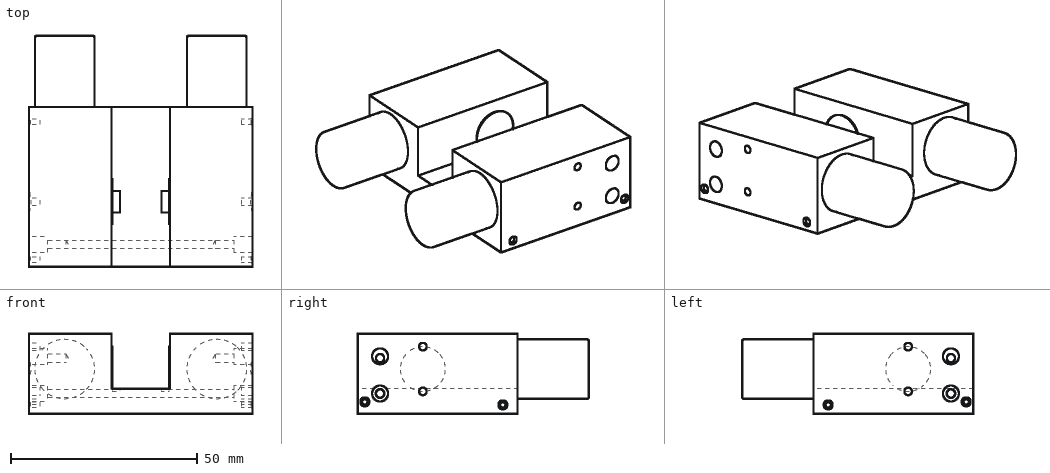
import cadquery as cq

overall_length = 62.0
body_width = 60.0
body_length = 42.9
body_height = 21.5
slot_width = 15.6
slot_floor_z = 6.75

axis_z = 12.0

plug_diameter = 16.0
plug_spacing = 40.8
plug_edge_radius = 0.5

lens_y = 17.5
lens_diameter = 12.0
lens_proud = 0.25
relief_reach = 2.3

window_diameter = 8.0
window_depth = 0.6
pin_hole_diameter = 2.05
pin_hole_depth = 3.0
pin_hole_offset = 6.0

bore_y = 6.0
counterbore_diameter = 4.3
counterbore_depth = 5.0
bore_diameter = 2.25
through_bore_z = 5.45
upper_counterbore_z = 15.45
upper_bore_z = 14.95
upper_bore_depth = 10.0
drill_tip_length = 0.6

screw_positions = [(1.9, 3.2), (38.95, 2.4)]
screw_hole_diameter = 1.5
screw_hole_depth = 3.0
countersink_diameter = 2.4

outer_x = -body_width / 2
slot_wall_x = -slot_width / 2


def rod(x, y, z, diameter, length):
    """Cylinder starting at (x, y, z) and running along +X."""
    return cq.Workplane(cq.Solid.makeCylinder(diameter / 2, length, cq.Vector(x, y, z), cq.Vector(1, 0, 0)))


def cone(x, y, z, base_diameter, tip_diameter, length):
    """Cone starting at (x, y, z) and narrowing along +X."""
    return cq.Workplane(
        cq.Solid.makeCone(
            base_diameter / 2, tip_diameter / 2, length, cq.Vector(x, y, z), cq.Vector(1, 0, 0)
        )
    )


def both_sides(shape):
    """The shape together with its mirror image on the +X side."""
    return shape.union(shape.mirror("YZ"))


def make_body():
    block = cq.Workplane("XY").box(body_width, body_length, body_height, centered=(True, False, False))
    slot = (
        cq.Workplane("XY")
        .workplane(offset=slot_floor_z)
        .box(slot_width, body_length, body_height - slot_floor_z, centered=(True, False, False))
    )
    return block.cut(slot)


def make_plug():
    return (
        cq.Workplane("XZ", origin=(-plug_spacing / 2, body_length, axis_z))
        .circle(plug_diameter / 2)
        .extrude(-(overall_length - body_length))
        .faces(">Y")
        .edges()
        .fillet(plug_edge_radius)
    )


def make_window():
    window = cone(outer_x, lens_y, axis_z, window_diameter, 0, window_depth)
    for offset in (-pin_hole_offset, pin_hole_offset):
        window = window.union(rod(outer_x, lens_y, axis_z + offset, pin_hole_diameter, pin_hole_depth))
    return window


def make_mounting_holes():
    lower = rod(outer_x, bore_y, through_bore_z, counterbore_diameter, counterbore_depth).union(
        rod(outer_x, bore_y, through_bore_z, bore_diameter, body_width)
    )
    tip_x = outer_x + upper_bore_depth
    upper = (
        rod(outer_x, bore_y, upper_counterbore_z, counterbore_diameter, counterbore_depth)
        .union(rod(outer_x, bore_y, upper_bore_z, bore_diameter, upper_bore_depth))
        .union(cone(tip_x, bore_y, upper_bore_z, bore_diameter, 0, drill_tip_length))
    )
    return lower, upper


def make_screw_hole(y, z):
    countersink_depth = (countersink_diameter - screw_hole_diameter) / 2
    countersink = cone(outer_x, y, z, countersink_diameter, screw_hole_diameter, countersink_depth)
    return countersink.union(rod(outer_x, y, z, screw_hole_diameter, screw_hole_depth))


relief = rod(slot_wall_x, lens_y, axis_z, lens_diameter, relief_reach)
lens = rod(slot_wall_x, lens_y, axis_z, lens_diameter, lens_proud)

result = make_body().union(both_sides(make_plug()))
result = result.cut(both_sides(relief)).union(both_sides(lens))
result = result.cut(both_sides(make_window()))
for hole in make_mounting_holes():
    result = result.cut(both_sides(hole))
for screw_y, screw_z in screw_positions:
    result = result.cut(both_sides(make_screw_hole(screw_y, screw_z)))